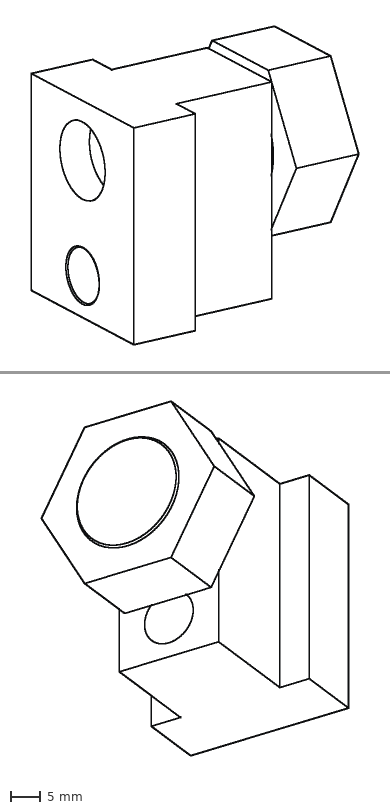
import cadquery as cq
import math


flange_width = 31.8
flange_depth = 12.5
stem_width = 20.0
block_depth = 31.9
block_height = 39.3

hex_across_corners = 34.81
hex_across_flats = hex_across_corners * math.cos(math.pi / 6)
hex_thickness = 12.7
hex_rise = 1.78
hex_center_x = 0.2
hex_center_z = block_height + hex_rise - hex_across_flats / 2
washer_back = block_depth + hex_thickness

shank_diameter = 14.0
shank_center_z = 28.45
shank_recess = 6.0
head_diameter = 20.6
head_protrusion = 0.35

pin_diameter = 9.8
pin_center_z = 7.6
pin_hole_chamfer = 0.25


def cylinder_along_y(diameter, x, z, start, end):
    """Cylinder parallel to Y that runs from Y = start to Y = end."""
    plane = cq.Plane(origin=(x, start, z), xDir=(1, 0, 0), normal=(0, 1, 0))
    return cq.Workplane(plane).circle(diameter / 2).extrude(end - start)


def make_block():
    flange = cq.Workplane("XY").box(
        flange_width, flange_depth, block_height, centered=(True, False, False)
    )
    stem = cq.Workplane("XY").box(
        stem_width, block_depth, block_height, centered=(True, False, False)
    )
    screw_hole = cylinder_along_y(shank_diameter, 0, shank_center_z, 0, block_depth)
    pin_hole = cylinder_along_y(pin_diameter, 0, pin_center_z, 0, block_depth)
    body = flange.union(stem).cut(pin_hole)
    body = body.faces("<Y").edges("%CIRCLE").chamfer(pin_hole_chamfer)
    return body.cut(screw_hole)


def make_washer():
    plane = cq.Plane(origin=(hex_center_x, block_depth, hex_center_z), xDir=(1, 0, 0), normal=(0, 1, 0))
    hexagon = cq.Workplane(plane).polygon(6, hex_across_corners).extrude(hex_thickness)
    bore = cylinder_along_y(head_diameter, hex_center_x, hex_center_z, block_depth, washer_back)
    return hexagon.cut(bore)


def make_cam_screw():
    head_end = washer_back + head_protrusion
    head = cylinder_along_y(head_diameter, hex_center_x, hex_center_z, block_depth, head_end)
    head = head.faces(">Y").chamfer(head_protrusion)
    shank = cylinder_along_y(shank_diameter, 0, shank_center_z, shank_recess, block_depth)
    return head.union(shank)


def make_pin():
    return cylinder_along_y(pin_diameter, 0, pin_center_z, pin_hole_chamfer, block_depth)


block = make_block()
washer = make_washer()
cam_screw = make_cam_screw()
pin = make_pin()

result = cq.Compound.makeCompound([block.val(), washer.val(), cam_screw.val(), pin.val()])